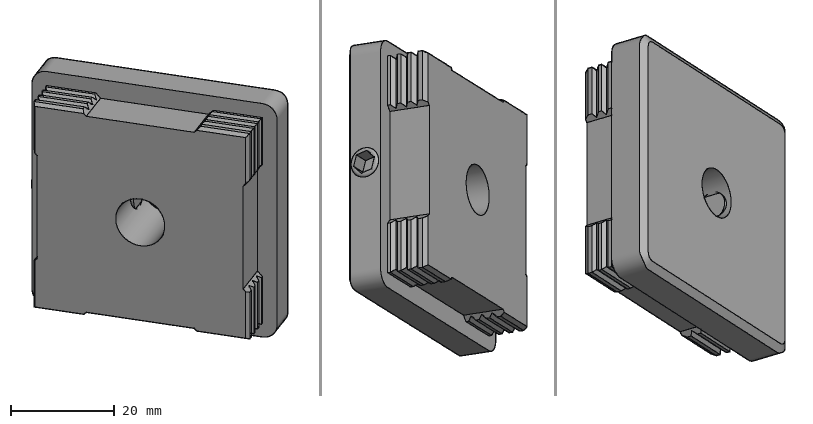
import cadquery as cq
import math

plate_size = 50.0
plate_thickness = 7.5
plate_corner_radius = 3.0
chamfer_height = 1.0
chamfer_width = 1.5
chamfer_corner_radius = 3.0

block_half_width = 22.0
block_length = 8.5
first_groove_start = 0.6
groove_depth = 0.7
groove_entry_length = 0.9
groove_exit_length = 0.6
rib_pitch = 2.25
groove_count = 3
lead_in_length = 1.0
lead_in_depth = 0.5

recess_depth = 1.0
recess_half_width = 11.0

bore_diameter = 10.0

screw_diameter = 6.0
screw_length = 21.0
screw_protrusion = 0.39
screw_edge_radius = 0.6
screw_back_distance = 4.1
socket_across_flats = 4.0
socket_depth = 4.0
socket_angle = -15.0

screw_y = plate_thickness - screw_back_distance
screw_head_x = -plate_size / 2 - screw_protrusion


def square_frustum(half_start, half_end, y_start, y_end):
    """Square block tapering evenly between two distances along Y."""
    return (
        cq.Workplane("XZ", origin=(0, y_start, 0))
        .rect(2 * half_start, 2 * half_start)
        .workplane(offset=y_start - y_end)
        .rect(2 * half_end, 2 * half_end)
        .loft(ruled=True)
    )


def make_plate():
    """Plate with round upright corners, its back chamfer rounded along the mitres too."""
    outline = (
        cq.Workplane("XZ")
        .rect(plate_size, plate_size)
        .extrude(-plate_thickness)
        .edges("|Y")
        .fillet(plate_corner_radius)
    )
    back_half = plate_size / 2 - chamfer_width
    front_half = back_half + plate_thickness * chamfer_width / chamfer_height
    chamfer_envelope = (
        square_frustum(back_half, front_half, plate_thickness, 0)
        .edges("not #Y")
        .fillet(chamfer_corner_radius)
    )
    return outline.intersect(chamfer_envelope)


def make_ribbed_block():
    """Stack of square sections whose outline steps in and out as the ribs do."""
    root_half_width = block_half_width - groove_depth
    profile = [(0.0, block_half_width)]
    for index in range(groove_count):
        start = first_groove_start + index * rib_pitch
        root = start + groove_entry_length
        profile.append((start, block_half_width))
        profile.append((root, root_half_width))
        profile.append((root + groove_exit_length, block_half_width))
    profile.append((block_length - lead_in_length, block_half_width))
    profile.append((block_length, block_half_width - lead_in_depth))

    block = cq.Workplane("XZ")
    for (depth, half), (next_depth, next_half) in zip(profile, profile[1:]):
        block = block.union(square_frustum(half, next_half, -depth, -next_depth))
    return block


def make_side_recess(angle):
    """Cutter for one side flat, with 45 degree ends, turned about the Y axis."""
    floor = block_half_width - recess_depth
    return (
        cq.Workplane("XZ")
        .moveTo(-recess_half_width, floor)
        .lineTo(recess_half_width, floor)
        .lineTo(recess_half_width + recess_depth, block_half_width)
        .lineTo(-recess_half_width - recess_depth, block_half_width)
        .close()
        .extrude(block_length)
        .rotate((0, 0, 0), (0, 1, 0), angle)
    )


def make_screw_blank():
    """Plain shank with a rounded outer edge, without its socket."""
    return (
        cq.Workplane("YZ", origin=(screw_head_x, screw_y, 0))
        .circle(screw_diameter / 2)
        .extrude(screw_length)
        .faces("<X")
        .edges()
        .fillet(screw_edge_radius)
    )


def make_end_plug():
    plug = make_plate().union(make_ribbed_block())
    for quarter_turn in range(4):
        plug = plug.cut(make_side_recess(90 * quarter_turn))
    bore = (
        cq.Workplane("XZ", origin=(0, plate_thickness, 0))
        .circle(bore_diameter / 2)
        .extrude(plate_thickness + block_length)
    )
    return plug.cut(bore).cut(make_screw_blank())


def make_set_screw():
    across_corners = socket_across_flats / math.cos(math.pi / 6)
    socket = (
        cq.Workplane("YZ", origin=(screw_head_x, screw_y, 0))
        .polygon(6, across_corners)
        .extrude(socket_depth)
        .rotate((0, screw_y, 0), (1, screw_y, 0), socket_angle)
    )
    return make_screw_blank().cut(socket)


end_plug = make_end_plug()
set_screw = make_set_screw()

result = cq.Compound.makeCompound([end_plug.val(), set_screw.val()])